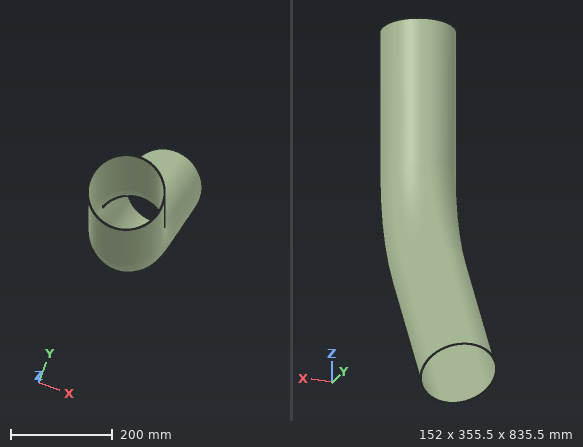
import cadquery as cq
import math

overall_height = 835.5
outer_diameter = 152.0
inner_diameter = 149.5
leg_length = 305.0
bend_angle_degrees = 30.0

outer_radius = outer_diameter / 2
bend_angle = math.radians(bend_angle_degrees)
bend_sine = math.sin(bend_angle)
bend_cosine = math.cos(bend_angle)

legs_height = leg_length * (1 + bend_cosine)
rim_drop = outer_radius * bend_sine
bend_radius = (overall_height - legs_height - rim_drop) / bend_sine


def bend_point(angle):
    """Centreline point (Y, Z) at an angle round the bend, in the YZ plane."""
    return (
        bend_radius * (1 - math.cos(angle)),
        -leg_length - bend_radius * math.sin(angle),
    )


bend_start = bend_point(0)
bend_middle = bend_point(bend_angle / 2)
bend_end = bend_point(bend_angle)
lower_end = (
    bend_end[0] + leg_length * bend_sine,
    bend_end[1] - leg_length * bend_cosine,
)
centreline = (
    cq.Workplane("YZ")
    .moveTo(0, 0)
    .lineTo(*bend_start)
    .threePointArc(bend_middle, bend_end)
    .lineTo(*lower_end)
)

result = (
    cq.Workplane("XY")
    .circle(outer_radius)
    .circle(inner_diameter / 2)
    .sweep(centreline)
)